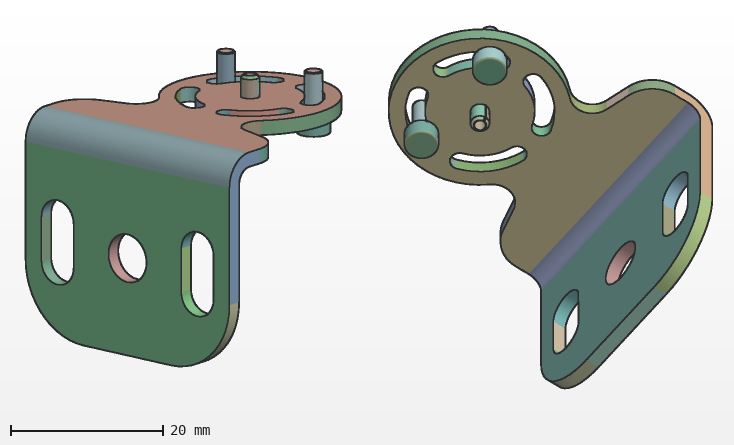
import cadquery as cq
import math

width = 35.0
thickness = 2.0
bend_outer_radius = 4.0
bend_inner_radius = bend_outer_radius - thickness
front_y = -25.0
flange_bottom_z = -30.0
flange_corner_radius = 10.0
disc_radius = 12.0

neck_half_width = 8.0
neck_radius = 3.0
shoulder_slope = math.radians(15.0)
shoulder_radius = 5.0

arc_slot_mean_radius = 8.5
arc_slot_width = 2.6
arc_slot_half_angle = 26.5
arc_slot_count = 4

flange_hole_z = -16.75
flange_hole_diameter = 6.5
flange_slot_spacing = 24.0
flange_slot_width = 5.5
flange_slot_length = 11.5

screw_angle = math.radians(28.0)
screw_x = arc_slot_mean_radius * math.cos(screw_angle)
screw_y = arc_slot_mean_radius * math.sin(screw_angle)
screw_diameter = 2.38
screw_top_z = 4.0
screw_tip_chamfer = 0.15
neck_chamfer = 0.3
head_diameter = 4.5
head_height = 2.5
head_edge_radius = 0.25

spring_pin_diameter = 2.5
spring_pin_bore = 1.55
spring_pin_top_z = 3.0
spring_pin_length = 8.0
spring_pin_chamfer_height = 0.4
spring_pin_chamfer_depth = 0.4
spring_pin_slit = 0.2


def bent_strip():
    """Full-width L-shaped strip with a rounded bend, extruded along X."""
    rear_y = disc_radius
    profile = (
        cq.Workplane("YZ", origin=(-width / 2, 0, 0))
        .moveTo(rear_y, 0)
        .lineTo(front_y + bend_outer_radius, 0)
        .radiusArc((front_y, -bend_outer_radius), -bend_outer_radius)
        .lineTo(front_y, flange_bottom_z)
        .lineTo(front_y + thickness, flange_bottom_z)
        .lineTo(front_y + thickness, -bend_outer_radius)
        .radiusArc((front_y + bend_outer_radius, -thickness), bend_inner_radius)
        .lineTo(rear_y, -thickness)
        .close()
    )
    return profile.extrude(width)


def plate_outline():
    """Disc, neck and shoulders as seen along Z, extruded through the whole height."""
    half_width = width / 2
    neck_x = neck_half_width + neck_radius
    neck_y = -math.sqrt((disc_radius + neck_radius) ** 2 - neck_x**2)
    disc_share = disc_radius / (disc_radius + neck_radius)
    disc_end = (neck_x * disc_share, neck_y * disc_share)
    neck_inner = (neck_half_width, neck_y)
    slope_x = math.sin(shoulder_slope)
    slope_y = math.cos(shoulder_slope)
    slope_start = (neck_x - neck_radius * slope_x, neck_y - neck_radius * slope_y)

    shoulder_x = half_width - shoulder_radius
    slope_end_x = shoulder_x + shoulder_radius * slope_x
    slope_end_y = slope_start[1] - (slope_end_x - slope_start[0]) * math.tan(shoulder_slope)
    shoulder_y = slope_end_y - shoulder_radius * slope_y
    side_top = (half_width, shoulder_y)

    def mirrored(point):
        return (-point[0], point[1])

    slope_end = (slope_end_x, slope_end_y)
    outline = (
        cq.Workplane("XY", origin=(0, 0, flange_bottom_z))
        .moveTo(half_width, front_y)
        .lineTo(*side_top)
        .radiusArc(slope_end, -shoulder_radius)
        .lineTo(*slope_start)
        .threePointArc(neck_inner, disc_end)
        .threePointArc((0, disc_radius), mirrored(disc_end))
        .threePointArc(mirrored(neck_inner), mirrored(slope_start))
        .lineTo(*mirrored(slope_end))
        .radiusArc(mirrored(side_top), -shoulder_radius)
        .lineTo(-half_width, front_y)
        .close()
    )
    return outline.extrude(-flange_bottom_z)


def arc_slot(middle_angle):
    """Cutter for a round-ended slot that follows a circle about the disc centre."""
    inner = arc_slot_mean_radius - arc_slot_width / 2
    outer = arc_slot_mean_radius + arc_slot_width / 2
    cap_radius = arc_slot_width / 2
    cap_angle = math.degrees(cap_radius / arc_slot_mean_radius)
    start = middle_angle - arc_slot_half_angle
    end = middle_angle + arc_slot_half_angle

    def polar(radius, angle):
        return (radius * math.cos(math.radians(angle)), radius * math.sin(math.radians(angle)))

    return (
        cq.Workplane("XY", origin=(0, 0, -thickness))
        .moveTo(*polar(inner, start))
        .threePointArc(polar(inner, middle_angle), polar(inner, end))
        .threePointArc(polar(arc_slot_mean_radius, end + cap_angle), polar(outer, end))
        .threePointArc(polar(outer, middle_angle), polar(outer, start))
        .threePointArc(polar(arc_slot_mean_radius, start - cap_angle), polar(inner, start))
        .close()
        .extrude(thickness)
    )


def make_bracket():
    body = bent_strip().intersect(plate_outline())
    body = body.edges("|Y and <Z").fillet(flange_corner_radius)

    slot_step = 360.0 / arc_slot_count
    for index in range(arc_slot_count):
        body = body.cut(arc_slot((index + 0.5) * slot_step))

    plate_plane = cq.Workplane("XY", origin=(0, 0, -thickness))
    pin_hole = plate_plane.circle(spring_pin_diameter / 2).extrude(thickness)
    flange_plane = cq.Workplane("XZ", origin=(0, front_y + thickness, flange_hole_z))
    flange_hole = flange_plane.circle(flange_hole_diameter / 2).extrude(thickness)
    flange_slots = (
        flange_plane.pushPoints([(-flange_slot_spacing / 2, 0), (flange_slot_spacing / 2, 0)])
        .slot2D(flange_slot_length, flange_slot_width, 90)
        .extrude(thickness)
    )
    return body.cut(pin_hole).cut(flange_hole).cut(flange_slots)


def make_screw(x):
    """Screw pointing up, its head against the underside of the plate."""
    head_bottom_z = -thickness - head_height
    head = (
        cq.Workplane("XY", origin=(x, screw_y, head_bottom_z))
        .circle(head_diameter / 2)
        .extrude(head_height)
        .faces("<Z")
        .edges()
        .fillet(head_edge_radius)
    )
    shank_radius = screw_diameter / 2
    shank_profile = [
        (0, -thickness),
        (shank_radius + neck_chamfer, -thickness),
        (shank_radius, -thickness + neck_chamfer),
        (shank_radius, screw_top_z - screw_tip_chamfer),
        (shank_radius - screw_tip_chamfer, screw_top_z),
        (0, screw_top_z),
    ]
    shank = cq.Workplane("XZ", origin=(x, screw_y, 0)).polyline(shank_profile).close()
    return head.union(shank.revolve(360, (0, 0), (0, 1)))


def make_spring_pin():
    """Chamfered tube with a narrow slit along its -X side."""
    bottom_z = spring_pin_top_z - spring_pin_length
    base = cq.Workplane("XY", origin=(0, 0, bottom_z))
    rod = base.circle(spring_pin_diameter / 2).extrude(spring_pin_length)
    rod = rod.faces("<Z or >Z").edges().chamfer(spring_pin_chamfer_height, spring_pin_chamfer_depth)
    bore = base.circle(spring_pin_bore / 2).extrude(spring_pin_length)
    slit = base.center(-spring_pin_diameter / 2, 0).rect(spring_pin_diameter, spring_pin_slit)
    return rod.cut(bore).cut(slit.extrude(spring_pin_length))


screws = [make_screw(x) for x in (-screw_x, screw_x)]
bracket = make_bracket()
for screw in screws:
    bracket = bracket.cut(screw)
spring_pin = make_spring_pin()

result = cq.Compound.makeCompound([bracket.val(), *[screw.val() for screw in screws], spring_pin.val()])